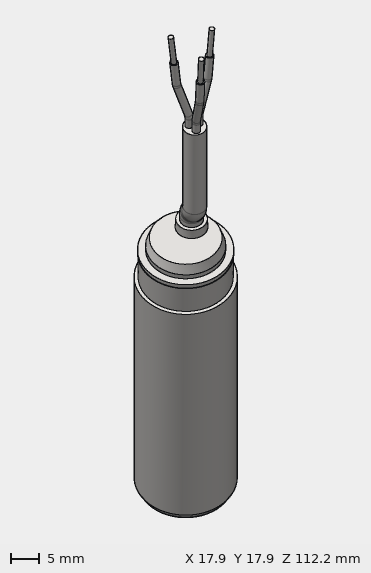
import cadquery as cq
import math

end_diameter = 16.7
plug_thickness = 2.0
plug_rounding = 0.8
foot_height = 0.2

housing_diameter = 17.9
neck_diameter = 16.5
shoulder_z = 53.1
housing_top_z = 59.0

flange_thickness = 1.0
step_diameter = 13.9
step_height = 1.0
dome_top_diameter = 12.6
dome_height = 2.0
collar_base_diameter = 5.7
collar_top_diameter = 5.5
collar_height = 2.0
collar_y = 2.8

jacket_diameter = 4.2
jacket_lead = 1.0
jacket_top_z = 90.6
jog_x = 1.2
jog_y = -1.6
jog_angle = 40.0
jog_bend_radius = 2.75

wire_count = 3
insulation_diameter = 1.5
conductor_diameter = 1.0
wire_circle_radius = 1.0
wire_lead = 2.1
wire_root_overlap = 0.5
wire_bend_radius = 2.5
fan_angle = 17.0
tip_angle = 5.0
fan_length = 7.0
insulated_tip_length = 5.2
overall_height = 112.18

foot_diameter = end_diameter - 2 * plug_rounding

flange_top_z = housing_top_z + flange_thickness
step_top_z = flange_top_z + step_height
dome_top_z = step_top_z + dome_height
collar_top_z = dome_top_z + collar_height

jog_distance = math.hypot(jog_x, jog_y)
jog_direction = math.degrees(math.atan2(jog_y, jog_x))
cable_x = jog_x
cable_y = collar_y + jog_y


def disc(diameter, bottom_z, height):
    return cq.Workplane("XY").workplane(offset=bottom_z).circle(diameter / 2).extrude(height)


def cone(bottom_diameter, top_diameter, bottom_z, height, y=0.0):
    solid = cq.Solid.makeCone(bottom_diameter / 2, top_diameter / 2, height, cq.Vector(0, y, bottom_z))
    return cq.Workplane(obj=solid)


def upright_plane(x, y, z, direction):
    """Vertical plane whose local x runs along a compass direction and local y runs up."""
    angle = math.radians(direction)
    return cq.Plane(
        origin=(x, y, z),
        xDir=(math.cos(angle), math.sin(angle), 0),
        normal=(math.sin(angle), -math.cos(angle), 0),
    )


def lean(angle):
    """Unit step, as (sideways, up), along a line leaning away from the vertical."""
    return math.sin(math.radians(angle)), math.cos(math.radians(angle))


def add_straight(path, start, angle, length):
    side, up = lean(angle)
    end = (start[0] + length * side, start[1] + length * up)
    return path.lineTo(*end), end


def add_bend(path, start, from_angle, to_angle, radius):
    """Tangent arc that changes the lean of the path from one angle to another."""
    turn = radius if to_angle > from_angle else -radius

    def point_at(angle):
        side_0, up_0 = lean(from_angle)
        side, up = lean(angle)
        return start[0] + turn * (up_0 - up), start[1] + turn * (side - side_0)

    end = point_at(to_angle)
    return path.threePointArc(point_at((from_angle + to_angle) / 2), end), end


def sweep_round(path, diameter, plane):
    """Round section, starting flat on the horizontal plane through the path's start."""
    section = cq.Workplane(cq.Plane(origin=plane.origin)).circle(diameter / 2)
    return section.sweep(path)


def make_end_plug():
    plug = disc(end_diameter, foot_height, plug_thickness - foot_height)
    foot = disc(foot_diameter, 0, foot_height)
    return plug.faces("<Z").edges().fillet(plug_rounding).union(foot)


def make_housing():
    body = disc(housing_diameter, plug_thickness, shoulder_z - plug_thickness)
    neck = disc(neck_diameter, shoulder_z, housing_top_z - shoulder_z)
    return body.union(neck)


def make_cap():
    flange = disc(end_diameter, housing_top_z, flange_thickness)
    step = disc(step_diameter, flange_top_z, step_height)
    dome = cone(step_diameter, dome_top_diameter, step_top_z, dome_height)
    collar = cone(collar_base_diameter, collar_top_diameter, dome_top_z, collar_height, collar_y)
    return flange.union(step).union(dome).union(collar)


def make_jacket():
    side, up = lean(jog_angle)
    straight_run = (jog_distance - 2 * jog_bend_radius * (1 - up)) / side
    plane = upright_plane(0, collar_y, collar_top_z, jog_direction)
    path, end = add_straight(cq.Workplane(plane), (0, 0), 0, jacket_lead)
    path, end = add_bend(path, end, 0, jog_angle, jog_bend_radius)
    path, end = add_straight(path, end, jog_angle, straight_run)
    path, end = add_bend(path, end, jog_angle, 0, jog_bend_radius)
    path, end = add_straight(path, end, 0, jacket_top_z - collar_top_z - end[1])
    return sweep_round(path, jacket_diameter, plane)


def make_wire(direction):
    angle = math.radians(direction)
    root_x = cable_x + wire_circle_radius * math.cos(angle)
    root_y = cable_y + wire_circle_radius * math.sin(angle)
    root_z = jacket_top_z - wire_root_overlap
    plane = upright_plane(root_x, root_y, root_z, direction)
    path, end = add_straight(cq.Workplane(plane), (0, 0), 0, wire_root_overlap + wire_lead)
    path, end = add_bend(path, end, 0, fan_angle, wire_bend_radius)
    path, end = add_straight(path, end, fan_angle, fan_length)
    path, end = add_bend(path, end, fan_angle, tip_angle, wire_bend_radius)
    path, end = add_straight(path, end, tip_angle, insulated_tip_length)
    insulation = sweep_round(path, insulation_diameter, plane)

    side, up = lean(tip_angle)
    rim_rise = conductor_diameter / 2 * side
    bare_length = (overall_height - rim_rise - root_z - end[1]) / up
    conductor = cq.Solid.makeCylinder(
        conductor_diameter / 2,
        bare_length,
        plane.toWorldCoords(end),
        plane.toWorldCoords((end[0] + side, end[1] + up)) - plane.toWorldCoords(end),
    )
    return insulation.union(cq.Workplane(obj=conductor))


def make_cable():
    cable = make_jacket()
    for index in range(wire_count):
        cable = cable.union(make_wire(jog_direction + index * 360 / wire_count))
    return cable


end_plug = make_end_plug()
housing = make_housing()
cap = make_cap()
cable = make_cable()

result = cq.Compound.makeCompound([end_plug.val(), housing.val(), cap.val(), cable.val()])